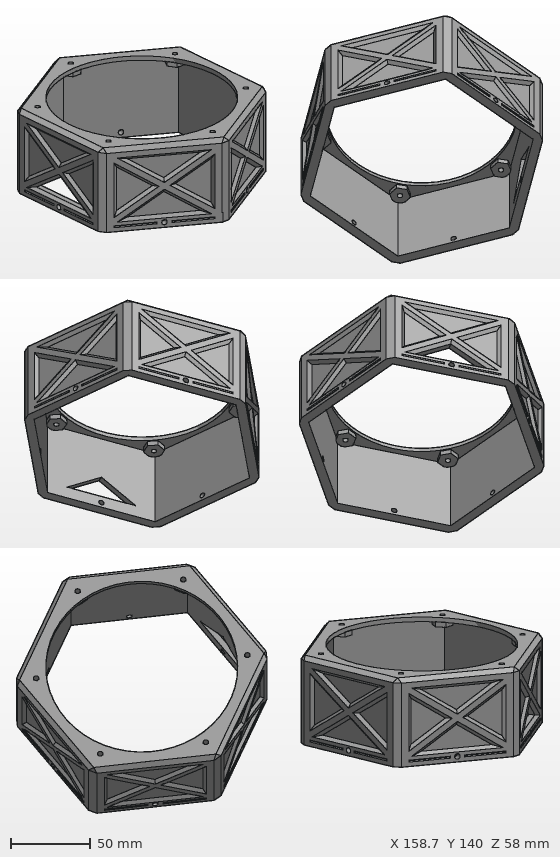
import cadquery as cq
import math

SIDES = 6
across_flats = 140.0
height = 58.0
wall = 6.0
plate_thickness = 3.0
plate_opening_diameter = 120.7

top_chamfer = 2.9
corner_reach = 79.2

side_taper = 45
panel_width = 64.7
panel_height = 44.7
strap_width = 4.0
strap_angle = 33.4
pocket_depth = 2.0

bolt_height = 3.6
wall_bolt_diameter = 3.5
groove_height = 1.3
groove_inner_end = 4.8

screw_circle_radius = 67.0
screw_diameter = 3.3
boss_across_flats = 11.6
boss_drop = 3.5

lip_reach = 79.5

cos_half = math.cos(math.pi / SIDES)
tan_half = math.tan(math.pi / SIDES)
apothem = across_flats / 2
corner_radius = apothem / cos_half
top_corner_radius = (apothem - top_chamfer) / cos_half
plate_bottom = height - plate_thickness
mid_height = height / 2
panel_bottom = mid_height - panel_height / 2
groove_depth = groove_height / 2
side_angles = [360 / SIDES * i for i in range(SIDES)]


def hexagon(flats_distance, z):
    """Sketch of a hexagon with corners on the X axis, at height z."""
    return cq.Workplane("XY").workplane(offset=z).polygon(SIDES, flats_distance / cos_half)


def around_axis(shape):
    """One copy of a shape per side, turned about Z."""
    copies = cq.Workplane("XY")
    for angle in side_angles:
        copies = copies.add(shape.rotate((0, 0, 0), (0, 0, 1), angle))
    return copies.combine()


def face_plane():
    """Plane on the -Y wall: x along the wall, y up from mid height, normal outward."""
    return cq.Workplane("XZ", origin=(0, -apothem, mid_height))


def strap_triangles(inset):
    """The four panel triangles, with every side moved inward by inset."""
    angle = math.radians(strap_angle)
    slope = math.tan(angle)
    clearance = strap_width / 2 + inset
    half_width = panel_width / 2 - inset
    half_height = panel_height / 2 - inset
    apex_up = clearance / math.cos(angle)
    apex_side = clearance / math.sin(angle)
    base_half = (half_height - apex_up) / slope
    side_half = (half_width - apex_side) * slope
    triangles = []
    for sign in (-1, 1):
        triangles.append([
            (0, sign * apex_up),
            (base_half, sign * half_height),
            (-base_half, sign * half_height),
        ])
        triangles.append([
            (sign * apex_side, 0),
            (sign * half_width, side_half),
            (sign * half_width, -side_half),
        ])
    return triangles


def make_shell():
    """Chamfered outer hexagon, hollow below a top plate with a round opening."""
    outer = hexagon(across_flats, 0).extrude(height).faces(">Z").chamfer(top_chamfer)
    cavity = hexagon(across_flats - 2 * wall, 0).extrude(plate_bottom)
    opening = cq.Workplane("XY").circle(plate_opening_diameter / 2).extrude(height)
    return outer.cut(cavity).cut(opening)


def make_corner_cutter():
    """Flattens one vertical corner, leaning in to the top plate's corner point."""
    return (
        cq.Workplane("XZ")
        .moveTo(corner_reach, 0)
        .lineTo(corner_reach, height - top_chamfer)
        .lineTo(top_corner_radius, height)
        .lineTo(corner_radius, height)
        .lineTo(corner_radius, 0)
        .close()
        .extrude(corner_radius - top_corner_radius + top_chamfer, both=True)
    )


def make_groove(centre_x):
    """Hipped V-groove along the -Y wall, level with the bolt hole."""
    length = panel_width / 2 - groove_inner_end
    ridge = groove_height / 2
    return (
        cq.Workplane("XY")
        .wedge(
            length, groove_depth, groove_height,
            groove_depth, ridge, length - groove_depth, ridge,
            centered=(True, False, True),
        )
        .translate((centre_x, -apothem, bolt_height))
    )


def make_wall_cutter():
    """Pockets, grooves and bolt hole of the -Y wall."""
    bolt_level = bolt_height - mid_height
    groove_centre = (panel_width / 2 + groove_inner_end) / 2
    cutter = face_plane().center(0, bolt_level).circle(wall_bolt_diameter / 2).extrude(-2 * wall)
    for centre_x in (-groove_centre, groove_centre):
        cutter = cutter.add(make_groove(centre_x))
    for triangle in strap_triangles(0):
        pocket = face_plane().polyline(triangle).close().extrude(-pocket_depth, taper=side_taper)
        cutter = cutter.add(pocket)
    return cutter.combine()


def make_window():
    """Opens the floor of the lowest pocket of the -Y wall through to the cavity."""
    lowest = strap_triangles(pocket_depth)[0]
    return face_plane().polyline(lowest).close().extrude(-2 * wall)


def make_boss():
    """Hexagonal boss under the top plate at the +X corner, one flat toward the axis."""
    return (
        hexagon(boss_across_flats, plate_bottom - boss_drop)
        .extrude(boss_drop)
        .rotate((0, 0, 0), (0, 0, 1), 180 / SIDES)
        .translate((screw_circle_radius, 0, 0))
    )


def make_screw_hole():
    return cq.Workplane("XY").center(screw_circle_radius, 0).circle(screw_diameter / 2).extrude(height)


def make_lip():
    """Low sliver that carries the wall next to the +X corner past the flattened edge."""
    root_y = (corner_reach - corner_radius) / tan_half
    tip_y = (lip_reach - corner_radius) / tan_half
    outline = [(corner_reach, root_y), (lip_reach, tip_y), (corner_reach, tip_y)]
    return cq.Workplane("XY").polyline(outline).close().extrude(panel_bottom)


result = (
    make_shell()
    .cut(around_axis(make_corner_cutter()))
    .union(around_axis(make_boss()))
    .cut(around_axis(make_screw_hole()))
    .cut(around_axis(make_wall_cutter()))
    .cut(make_window())
    .union(make_lip())
)